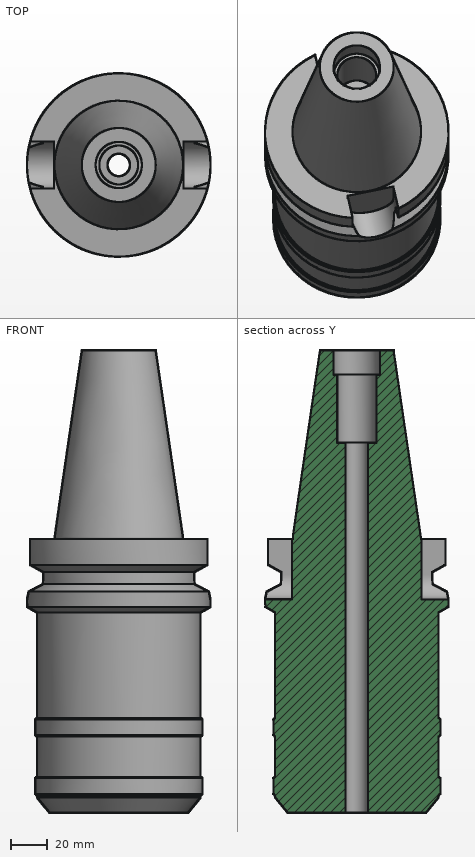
import cadquery as cq
import math

total_height = 251.8
gauge_z = 150.0
flange_top_z = 149.0

taper_small_radius = 20.1
taper_large_radius = 35.0

flange_diameter = 100.0
flange_radius = flange_diameter / 2
groove_radius = 43.0
groove_floor_top_z = 131.0
groove_floor_height = 6.5
lower_rim_bottom_z = 112.0
flank_angle = math.radians(30)
groove_flank_height = (flange_radius - groove_radius) * math.tan(flank_angle)

body_radius = 44.5
band_radius = 45.5
band_height = 10.0
band_bottoms = (9.5, 41.5)
band_chamfer = 0.8
nose_radius = 37.8
nose_height = 8.3
flange_underside_z = lower_rim_bottom_z - (flange_radius - body_radius) * math.tan(flank_angle)

slot_width = 25.5
slot_floor_x = 35.3
slot_bottom_z = 116.3

entry_radius = 12.5
entry_depth = 13.3
thread_radius = 10.5
thread_depth = 50.4
through_radius = 6.0


def make_body():
    groove_floor_bottom_z = groove_floor_top_z - groove_floor_height
    profile = [
        (0, 0),
        (nose_radius, 0),
        (body_radius, nose_height),
        (body_radius, flange_underside_z),
        (flange_radius, lower_rim_bottom_z),
        (flange_radius, groove_floor_bottom_z - groove_flank_height),
        (groove_radius, groove_floor_bottom_z),
        (groove_radius, groove_floor_top_z),
        (flange_radius, groove_floor_top_z + groove_flank_height),
        (flange_radius, flange_top_z),
        (taper_large_radius, flange_top_z),
        (taper_large_radius, gauge_z),
        (taper_small_radius, total_height),
        (0, total_height),
    ]
    return cq.Workplane("XZ").polyline(profile).close().revolve(360, (0, 0), (0, 1))


def make_band(bottom_z):
    band = cq.Workplane("XY").workplane(offset=bottom_z).circle(band_radius).extrude(band_height)
    return band.edges().chamfer(band_chamfer)


def make_slot():
    half_width = slot_width / 2
    arc_center_z = slot_bottom_z + half_width
    return (
        cq.Workplane("YZ")
        .workplane(offset=slot_floor_x)
        .moveTo(-half_width, flange_top_z)
        .lineTo(-half_width, arc_center_z)
        .threePointArc((0, slot_bottom_z), (half_width, arc_center_z))
        .lineTo(half_width, flange_top_z)
        .close()
        .extrude(flange_radius)
    )


result = make_body()
for band_bottom in band_bottoms:
    result = result.union(make_band(band_bottom))

slot = make_slot()
result = result.cut(slot).cut(slot.mirror("YZ"))

result = result.faces(">Z").workplane().circle(through_radius).cutThruAll()
for radius, depth in ((thread_radius, thread_depth), (entry_radius, entry_depth)):
    result = result.faces(">Z").workplane().circle(radius).cutBlind(-depth)